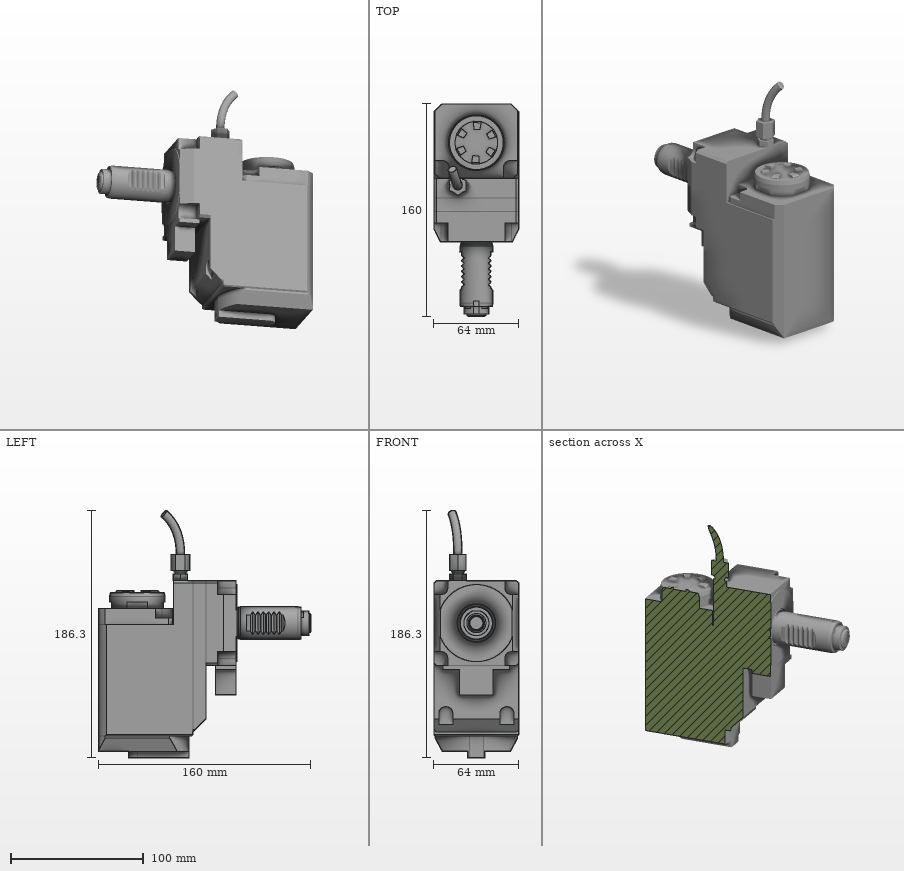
import cadquery as cq
import math


WIDTH = 64.0
HALF_WIDTH = WIDTH / 2
BACK_Y = 104.0
COLUMN_BACK_Y = 47.7
HOUSING_FRONT_Y = 33.0
WALL_FRONT_Y = 23.0
HOUSING_BOTTOM_Z = -85.0
HOUSING_TOP_Z = -1.0
HOUSING_BACK_CHAMFER = 6.0
HOUSING_EDGE_CHAMFER = 1.0
COLUMN_CHAMFER = 2.0
WALL_BOTTOM_Z = -82.0
WALL_SLOPE = HOUSING_FRONT_Y - WALL_FRONT_Y

POCKET_X = 23.0
POCKET_RADIUS = 5.3
POCKET_CENTRE_Z = -68.2
POCKET_FLOOR_Y = 27.4

FLANGE_FACE_Y = 0.5
FLANGE_BEVEL_DEPTH = 10.0
FLANGE_BEVEL_WIDTH = 5.0
FLANGE_FACE_DIA = 58.0
CORNER_NOTCH = 10.5
CORNER_NOTCH_BACK_Y = 14.5
CORNER_RADIUS = 5.0
SEAL_RECESS_DIA = 29.0
SEAL_RECESS_DEPTH = 1.8
SEAL_SECTION_DIA = 2.1

BLOCK_BACK_Y = 16.0
BLOCK_WIDTH = 25.0
BLOCK_BOTTOM_Z = -54.0
BLOCK_PLATE_WIDTH = 50.0
BLOCK_PLATE_BOTTOM_Z = -35.0

COVER_WIDTH = WIDTH - 2 * HOUSING_EDGE_CHAMFER
COVER_BACK_CHAMFER = HOUSING_BACK_CHAMFER - HOUSING_EDGE_CHAMFER
COVER_FRONT_Y = 48.2
COVER_FRONT_CHAMFER = 3.0
COVER_TOP_Z = 11.0
COVER_NOTCH_FLOOR_Z = 4.0
COVER_NOTCH_BACK_Y = 61.3
SPINDLE_Y = 74.8
NUT_DIA = 42.0
NUT_TOP_DIA = 40.5
NUT_FLAT_DISTANCE = 19.5
NUT_FLAT_TOP_Z = 15.7
NUT_CONE_Z = 20.0
NUT_TOP_Z = 23.0
FACE_RECESS_DIA = 32.0
FACE_RECESS_DEPTH = 0.2
LUG_COUNT = 6
LUG_START_ANGLE = 87.5
LUG_INNER_RADIUS = 9.9
LUG_OUTER_RADIUS = 16.0
LUG_INNER_WIDTH = 4.4
LUG_OUTER_WIDTH = 6.0
LUG_TOP_Z = 24.6
LUG_CHAMFER = 1.0

FOOT_RADIUS = 39.35
FOOT_FRONT_Y = 35.8
FOOT_BOTTOM_Z = -96.5
FOOT_SLOPE_TOP_Z = -86.5
FOOT_BOTTOM_HALF_WIDTH = 25.7
KEY_WIDTH = 13.0
KEY_BOTTOM_Z = -101.5

SHANK_DIA = 25.0
SHANK_NECK_DIA = 24.1
SHANK_NECK_Y = -2.8
SHANK_ROOT_DIA = 23.4
SHANK_ROOT_Y = -1.3
SHANK_BEVEL_Y = -46.0
SHANK_END_Y = -48.4
SPIGOT_DIA = 18.9
SPIGOT_END_Y = -54.3
TIP_DIA = 14.4
TIP_BEVEL_Y = -55.2
TIP_END_DIA = 12.2
TIP_END_Y = -56.0
TIP_GROOVE_OUTER_DIA = 11.0
TIP_GROOVE_INNER_DIA = 9.8
TIP_GROOVE_DEPTH = 0.5

TOOTH_PITCH = 4.0
TOOTH_COUNT = 6
TOOTH_TIP_X = 11.0
TOOTH_ROOT_X = 9.2
TOOTH_HALF_ANGLE = math.radians(45)
RACK_START_Y = -7.3
FIRST_ROOT_Y = -12.0
RACK_RUN_OUT = 2.8
KEYWAY_WIDTH = 4.2
KEYWAY_START_Y = -44.3
KEYWAY_FLOOR_Z = 12.0
SPIGOT_KEYWAY_FLOOR_Z = 9.2
SPIGOT_FLAT_RADIUS = 9.0
SPIGOT_FLAT_LENGTH = 1.7

FITTING_X = -13.9
FITTING_Y = 42.4
BASE_HEX_ACROSS_FLATS = 11.0
BASE_HEX_TOP_Z = 36.8
FITTING_NECK_DIA = 8.15
FITTING_RING_DIA = 9.8
FITTING_RING_Z = 38.4
NUT_HEX_ACROSS_FLATS = 12.5
NUT_HEX_BOTTOM_Z = 39.4
NUT_HEX_TOP_Z = 51.7
HOSE_DIA = 6.37
HOSE_TOP_Z = KEY_BOTTOM_Z + 186.31
HOSE_REACH = 13.1
HOSE_BEND_ANGLE = math.radians(50)
HOSE_BEND_DIRECTION = math.radians(109)


def box(x_min, x_max, y_min, y_max, z_min, z_max):
    size = (x_max - x_min, y_max - y_min, z_max - z_min)
    return cq.Workplane("XY").box(*size, centered=False).translate((x_min, y_min, z_min))


def centred_box(width, y_min, y_max, z_min, z_max):
    return box(-width / 2, width / 2, y_min, y_max, z_min, z_max)


def vertical_cylinder(diameter, x, y, z_min, z_max):
    return cq.Workplane("XY", origin=(x, y, z_min)).circle(diameter / 2).extrude(z_max - z_min)


def make_housing():
    housing = centred_box(WIDTH, HOUSING_FRONT_Y, BACK_Y, HOUSING_BOTTOM_Z, HOUSING_TOP_Z)
    housing = housing.edges("|Z and >Y").chamfer(HOUSING_BACK_CHAMFER)
    return housing.faces("<Z").edges("<X or >X or <Y").chamfer(HOUSING_EDGE_CHAMFER)


def make_column():
    """Upright block behind the front wall, with its upper lengthwise corners chamfered."""
    column = centred_box(WIDTH, HOUSING_FRONT_Y, COLUMN_BACK_Y, HOUSING_TOP_Z, HALF_WIDTH)
    return column.edges("|Y and >Z").chamfer(COLUMN_CHAMFER)


def make_wall():
    """Front wall with chamfered lengthwise corners, a sloped bottom and two screw pockets."""
    wall = centred_box(WIDTH, WALL_FRONT_Y, HOUSING_FRONT_Y, WALL_BOTTOM_Z, HALF_WIDTH)
    wall = wall.edges("|Y").chamfer(COLUMN_CHAMFER)
    slope = (
        cq.Workplane("YZ", origin=(-HALF_WIDTH, 0, 0))
        .moveTo(WALL_FRONT_Y, WALL_BOTTOM_Z)
        .lineTo(HOUSING_FRONT_Y, WALL_BOTTOM_Z)
        .lineTo(WALL_FRONT_Y, WALL_BOTTOM_Z + WALL_SLOPE)
        .close()
        .extrude(WIDTH)
    )
    wall = wall.cut(slope)
    for x in (-POCKET_X, POCKET_X):
        wall = wall.cut(make_wall_pocket(x))
    return wall


def make_wall_pocket(x):
    """Round-topped recess, open to the front and to the slope below."""
    depth = POCKET_FLOOR_Y - WALL_FRONT_Y
    arch = cq.Workplane("XZ", origin=(x, POCKET_FLOOR_Y, POCKET_CENTRE_Z)).circle(POCKET_RADIUS)
    pocket = arch.extrude(depth)
    lower = box(
        x - POCKET_RADIUS, x + POCKET_RADIUS, WALL_FRONT_Y, POCKET_FLOOR_Y, WALL_BOTTOM_Z, POCKET_CENTRE_Z
    )
    return pocket.union(lower)


def make_flange():
    flange = centred_box(WIDTH, FLANGE_FACE_Y, WALL_FRONT_Y, -HALF_WIDTH, HALF_WIDTH)
    flange = flange.edges("|Y").chamfer(COLUMN_CHAMFER)
    face_disc = cq.Workplane("XZ", origin=(0, WALL_FRONT_Y, 0)).circle(FLANGE_FACE_DIA / 2)
    flange = flange.union(face_disc.extrude(WALL_FRONT_Y))
    face_half_width = HALF_WIDTH - FLANGE_BEVEL_WIDTH
    plan = (
        cq.Workplane("XY", origin=(0, 0, -HALF_WIDTH))
        .moveTo(-HALF_WIDTH, WALL_FRONT_Y)
        .lineTo(-HALF_WIDTH, FLANGE_BEVEL_DEPTH)
        .lineTo(-face_half_width, 0)
        .lineTo(face_half_width, 0)
        .lineTo(HALF_WIDTH, FLANGE_BEVEL_DEPTH)
        .lineTo(HALF_WIDTH, WALL_FRONT_Y)
        .close()
        .extrude(WIDTH)
    )
    flange = flange.intersect(plan)
    notch_inner = HALF_WIDTH - CORNER_NOTCH
    for side in (-1, 1):
        for level in (-1, 1):
            notch = box(0, CORNER_NOTCH, 0, CORNER_NOTCH_BACK_Y, 0, CORNER_NOTCH)
            notch = notch.edges("|Y and <X and <Z").fillet(CORNER_RADIUS)
            notch = notch.translate((notch_inner, 0, notch_inner))
            if side < 0:
                notch = notch.mirror("YZ")
            if level < 0:
                notch = notch.mirror("XY")
            flange = flange.cut(notch)
    return flange


def cut_seal_recess(body):
    recess = cq.Workplane("XZ").circle(SEAL_RECESS_DIA / 2).extrude(-SEAL_RECESS_DEPTH)
    return body.cut(recess)


def make_seal():
    """O-ring bedded in the recess, midway between its wall and the shank neck."""
    centre_radius = (SEAL_RECESS_DIA + SHANK_NECK_DIA) / 4
    ring = cq.Solid.makeTorus(
        centre_radius, SEAL_SECTION_DIA / 2, cq.Vector(0, SEAL_SECTION_DIA / 2, 0), cq.Vector(0, 1, 0)
    )
    return cq.Workplane(obj=ring)


def make_locating_block():
    plate = centred_box(
        BLOCK_PLATE_WIDTH, FLANGE_FACE_Y, BLOCK_BACK_Y, BLOCK_PLATE_BOTTOM_Z, -HALF_WIDTH
    )
    block = centred_box(BLOCK_WIDTH, FLANGE_FACE_Y, BLOCK_BACK_Y, BLOCK_BOTTOM_Z, -HALF_WIDTH)
    return plate.union(block)


def make_cover():
    cover = centred_box(COVER_WIDTH, COVER_FRONT_Y, BACK_Y, HOUSING_TOP_Z, COVER_TOP_Z)
    cover = cover.edges("|Z and >Y").chamfer(COVER_BACK_CHAMFER)
    cover = cover.edges("|Z and <Y").chamfer(COVER_FRONT_CHAMFER)
    notch = box(
        HALF_WIDTH - CORNER_NOTCH - HOUSING_EDGE_CHAMFER,
        HALF_WIDTH,
        COLUMN_BACK_Y,
        COVER_NOTCH_BACK_Y,
        COVER_NOTCH_FLOOR_Z,
        COVER_TOP_Z,
    )
    notch = notch.edges("|Z and <X and >Y").fillet(CORNER_RADIUS)
    return cover.cut(notch).cut(notch.mirror("YZ"))


def make_lug():
    """Drive lug pointing along +X, with its outer top edge bevelled."""
    lug = (
        cq.Workplane("XY", origin=(0, 0, NUT_TOP_Z - FACE_RECESS_DEPTH))
        .moveTo(LUG_INNER_RADIUS, -LUG_INNER_WIDTH / 2)
        .lineTo(LUG_OUTER_RADIUS, -LUG_OUTER_WIDTH / 2)
        .lineTo(LUG_OUTER_RADIUS, LUG_OUTER_WIDTH / 2)
        .lineTo(LUG_INNER_RADIUS, LUG_INNER_WIDTH / 2)
        .close()
        .extrude(LUG_TOP_Z - NUT_TOP_Z + FACE_RECESS_DEPTH)
    )
    return lug.faces(">X").edges(">Z").chamfer(LUG_CHAMFER)


def make_spindle():
    nut = (
        cq.Workplane("XZ", origin=(0, SPINDLE_Y, 0))
        .moveTo(0, COVER_TOP_Z)
        .lineTo(NUT_DIA / 2, COVER_TOP_Z)
        .lineTo(NUT_DIA / 2, NUT_CONE_Z)
        .lineTo(NUT_TOP_DIA / 2, NUT_TOP_Z)
        .lineTo(0, NUT_TOP_Z)
        .close()
        .revolve(360, (0, 0, 0), (0, 1, 0))
    )
    recess = vertical_cylinder(FACE_RECESS_DIA, 0, SPINDLE_Y, NUT_TOP_Z - FACE_RECESS_DEPTH, NUT_TOP_Z)
    spindle = nut.cut(recess)
    nut_radius = NUT_DIA / 2
    flat_cutter = box(NUT_FLAT_DISTANCE, nut_radius, -nut_radius, nut_radius, COVER_TOP_Z, NUT_FLAT_TOP_Z)
    for angle in (0, 90, 180, 270):
        flat = flat_cutter.rotate((0, 0, 0), (0, 0, 1), angle)
        spindle = spindle.cut(flat.translate((0, SPINDLE_Y, 0)))
    for index in range(LUG_COUNT):
        angle = LUG_START_ANGLE + index * 360 / LUG_COUNT
        lug = make_lug().rotate((0, 0, 0), (0, 0, 1), angle)
        spindle = spindle.union(lug.translate((0, SPINDLE_Y, 0)))
    return spindle


def make_foot():
    """Tapered foot, rounded about the spindle axis at the front, with a flat at its foremost point."""
    foot = centred_box(COVER_WIDTH, FOOT_FRONT_Y, BACK_Y, FOOT_BOTTOM_Z, HOUSING_BOTTOM_Z)
    foot = foot.edges("|Z and >Y").chamfer(COVER_BACK_CHAMFER)
    rounding = vertical_cylinder(2 * FOOT_RADIUS, 0, SPINDLE_Y, KEY_BOTTOM_Z, HOUSING_BOTTOM_Z)
    rounding = rounding.union(centred_box(WIDTH, SPINDLE_Y, BACK_Y, KEY_BOTTOM_Z, HOUSING_BOTTOM_Z))
    top_half_width = COVER_WIDTH / 2
    taper = (
        cq.Workplane("XZ", origin=(0, BACK_Y, 0))
        .moveTo(-top_half_width, HOUSING_BOTTOM_Z)
        .lineTo(-top_half_width, FOOT_SLOPE_TOP_Z)
        .lineTo(-FOOT_BOTTOM_HALF_WIDTH, FOOT_BOTTOM_Z)
        .lineTo(FOOT_BOTTOM_HALF_WIDTH, FOOT_BOTTOM_Z)
        .lineTo(top_half_width, FOOT_SLOPE_TOP_Z)
        .lineTo(top_half_width, HOUSING_BOTTOM_Z)
        .close()
        .extrude(BACK_Y - FOOT_FRONT_Y)
    )
    key = centred_box(KEY_WIDTH, FOOT_FRONT_Y, SPINDLE_Y, KEY_BOTTOM_Z, FOOT_BOTTOM_Z)
    key = key.union(vertical_cylinder(KEY_WIDTH, 0, SPINDLE_Y, KEY_BOTTOM_Z, FOOT_BOTTOM_Z))
    return foot.intersect(taper).union(key).intersect(rounding)


def make_rack_cutter():
    """Removes one side of the shank down to a row of V-shaped teeth."""
    clear_x = SHANK_DIA
    half_groove = (TOOTH_TIP_X - TOOTH_ROOT_X) * math.tan(TOOTH_HALF_ANGLE)
    outline = (
        cq.Workplane("XY", origin=(0, 0, -SHANK_DIA / 2))
        .moveTo(clear_x, RACK_START_Y)
        .lineTo(TOOTH_TIP_X, RACK_START_Y)
    )
    for index in range(TOOTH_COUNT):
        root_y = FIRST_ROOT_Y - index * TOOTH_PITCH
        outline = outline.lineTo(TOOTH_TIP_X, root_y + half_groove)
        outline = outline.lineTo(TOOTH_ROOT_X, root_y)
        outline = outline.lineTo(TOOTH_TIP_X, root_y - half_groove)
    last_root_y = FIRST_ROOT_Y - (TOOTH_COUNT - 1) * TOOTH_PITCH
    run_out_y = last_root_y - RACK_RUN_OUT
    outline = outline.lineTo(TOOTH_TIP_X, run_out_y)
    outline = outline.lineTo(clear_x, run_out_y - (clear_x - TOOTH_TIP_X))
    return outline.close().extrude(SHANK_DIA)


def make_spigot_flat(angle):
    flat = centred_box(
        SPIGOT_DIA, SHANK_END_Y - SPIGOT_FLAT_LENGTH, SHANK_END_Y, SPIGOT_FLAT_RADIUS, SPIGOT_DIA
    )
    return flat.rotate((0, 0, 0), (0, 1, 0), angle)


def make_shank():
    shank = (
        cq.Workplane("XY")
        .moveTo(0, WALL_FRONT_Y)
        .lineTo(SHANK_ROOT_DIA / 2, WALL_FRONT_Y)
        .lineTo(SHANK_ROOT_DIA / 2, SHANK_ROOT_Y)
        .lineTo(SHANK_NECK_DIA / 2, SHANK_ROOT_Y)
        .lineTo(SHANK_NECK_DIA / 2, SHANK_NECK_Y)
        .lineTo(SHANK_DIA / 2, SHANK_NECK_Y)
        .lineTo(SHANK_DIA / 2, SHANK_BEVEL_Y)
        .lineTo(SHANK_NECK_DIA / 2, SHANK_END_Y)
        .lineTo(SPIGOT_DIA / 2, SHANK_END_Y)
        .lineTo(SPIGOT_DIA / 2, SPIGOT_END_Y)
        .lineTo(TIP_DIA / 2, SPIGOT_END_Y)
        .lineTo(TIP_DIA / 2, TIP_BEVEL_Y)
        .lineTo(TIP_END_DIA / 2, TIP_END_Y)
        .lineTo(0, TIP_END_Y)
        .close()
        .revolve(360, (0, 0, 0), (0, 1, 0))
    )
    rack = make_rack_cutter()
    shank = shank.cut(rack).cut(rack.mirror("YZ"))
    shank = shank.cut(centred_box(KEYWAY_WIDTH, SHANK_END_Y, KEYWAY_START_Y, KEYWAY_FLOOR_Z, SHANK_DIA))
    shank = shank.cut(
        centred_box(KEYWAY_WIDTH, SPIGOT_END_Y, SHANK_END_Y, SPIGOT_KEYWAY_FLOOR_Z, SPIGOT_DIA / 2)
    )
    for angle in (-45, 45):
        shank = shank.cut(make_spigot_flat(angle))
    groove = cq.Workplane("XZ", origin=(0, TIP_END_Y, 0)).circle(TIP_GROOVE_OUTER_DIA / 2)
    groove = groove.circle(TIP_GROOVE_INNER_DIA / 2).extrude(-TIP_GROOVE_DEPTH)
    return shank.cut(groove)


def make_hexagon(across_flats, z_min, z_max, turn):
    across_corners = across_flats / math.cos(math.radians(30))
    hexagon = cq.Workplane("XY").polygon(6, across_corners).extrude(z_max - z_min)
    return hexagon.rotate((0, 0, 0), (0, 0, 1), turn).translate((FITTING_X, FITTING_Y, z_min))


def make_fitting():
    base = make_hexagon(BASE_HEX_ACROSS_FLATS, HALF_WIDTH, BASE_HEX_TOP_Z, 0)
    nut = make_hexagon(NUT_HEX_ACROSS_FLATS, NUT_HEX_BOTTOM_Z, NUT_HEX_TOP_Z, 30)
    neck = vertical_cylinder(FITTING_NECK_DIA, FITTING_X, FITTING_Y, BASE_HEX_TOP_Z, NUT_HEX_BOTTOM_Z)
    ring = vertical_cylinder(FITTING_RING_DIA, FITTING_X, FITTING_Y, FITTING_RING_Z, NUT_HEX_BOTTOM_Z)
    return base.union(neck).union(ring).union(nut)


def make_hose():
    """Round hose that rises from the fitting and bends towards -X and +Y."""
    end_z = HOSE_TOP_Z - HOSE_DIA / 2 * math.sin(HOSE_BEND_ANGLE)
    end_direction = (math.sin(HOSE_BEND_ANGLE), math.cos(HOSE_BEND_ANGLE))
    path = cq.Workplane("XZ").spline(
        [(0, 0), (HOSE_REACH, end_z - NUT_HEX_TOP_Z)], tangents=[(0, 1), end_direction]
    )
    hose = cq.Workplane("XY").circle(HOSE_DIA / 2).sweep(path)
    hose = hose.rotate((0, 0, 0), (0, 0, 1), math.degrees(HOSE_BEND_DIRECTION))
    return hose.translate((FITTING_X, FITTING_Y, NUT_HEX_TOP_Z))


result = make_housing().union(make_column())
sections = [
    make_wall(),
    cut_seal_recess(make_flange()),
    make_locating_block(),
    make_cover(),
    make_spindle(),
    make_foot(),
    make_shank(),
    make_seal(),
    make_fitting(),
    make_hose(),
]
for section in sections:
    result = result.union(section, clean=False)